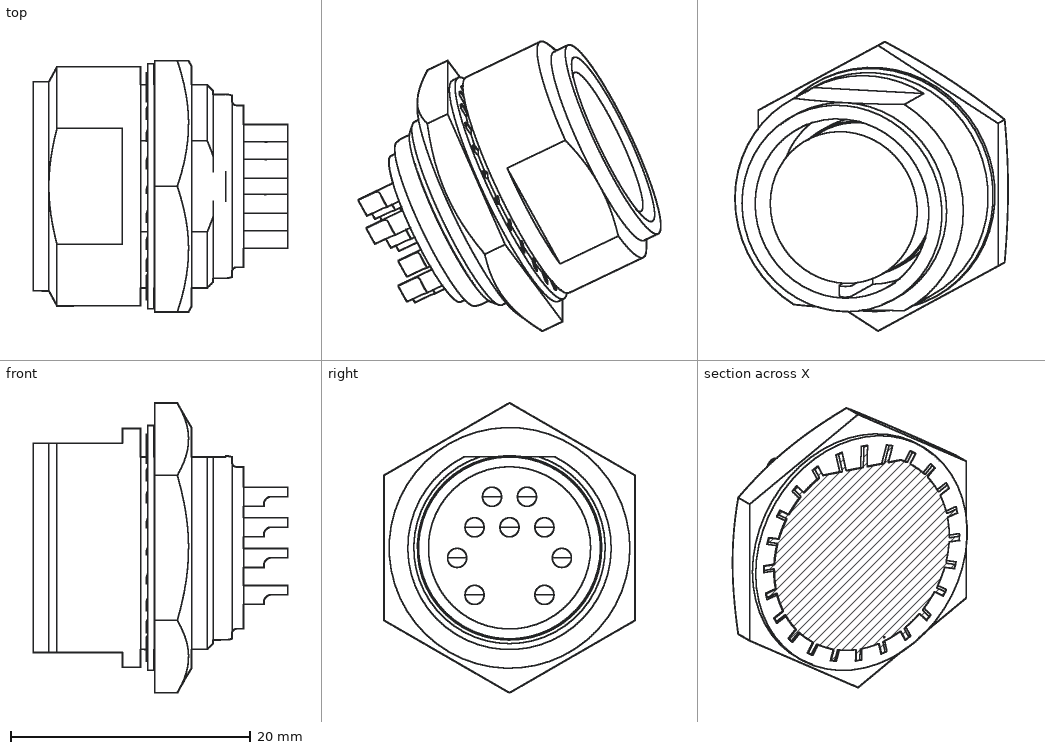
import cadquery as cq
import math


collar_radius = 8.75
collar_end = 1.32
flange_radius = 10.0
flange_start = 2.0
flange_end = 8.98
wrench_flat_height = collar_radius
wrench_flat_end = 7.47

barrel_radius = 8.5
barrel_end = 15.05
barrel_chamfer = 0.5
barrel_flat_height = 7.6

clamp_radius = 7.7
clamp_flat_end = 16.1
clamp_end = 16.63
clamp_end_radius = 7.6
tail_radius = 6.78
tail_start = 17.0
tail_end = 17.6

socket_radius = 7.6
socket_depth = 7.0
insert_radius = 6.43
insert_recess = 0.5
insert_base_radius = 6.55
insert_base_start = 5.0
key_width = 1.05
key_top_radius = 6.7
key_front = 0.5

washer_start = 9.58
washer_end = 10.12
washer_radius = 10.25
tooth_count = 24
tooth_height = 0.14
tooth_radius = 9.48
tooth_width = 0.6
first_tooth_angle = 13.3

nut_start = 10.15
nut_end = 13.25
nut_across_flats = 21.0
nut_face_radius = 10.06
nut_chamfer_angle = 30.0

pin_radius = 0.8
pin_end = 21.3
pin_cut_length = 2.0
pin_cut_rounding = 0.6
pin_pitch = 2.92
pin_rows = [
    (4.27, [0.5 * pin_pitch]),
    (1.72, [0, pin_pitch]),
    (-0.84, [1.5 * pin_pitch]),
    (-3.93, [pin_pitch]),
]


def disc(radius, start, end):
    """Cylinder on the X axis between two X positions."""
    return cq.Workplane("YZ").workplane(offset=start).circle(radius).extrude(end - start)


def flat_cutter(height, start, end):
    """Block that removes everything above Z = height between two X positions."""
    width = 2 * flange_radius
    depth = flange_radius
    block = cq.Workplane("XY").box(end - start, width, depth, centered=(False, True, False))
    return block.translate((start, 0, height))


def make_shell_front():
    front = (
        cq.Workplane("XY")
        .polyline([
            (0, 0),
            (0, collar_radius),
            (collar_end, collar_radius),
            (flange_start, flange_radius),
            (flange_end, flange_radius),
            (flange_end, 0),
        ])
        .close()
        .revolve(360, (0, 0, 0), (1, 0, 0))
    )
    upper_flat = flat_cutter(wrench_flat_height, 0, wrench_flat_end)
    lower_flat = upper_flat.mirror("XY")
    return front.cut(upper_flat).cut(lower_flat)


def make_shell_rear():
    barrel = disc(barrel_radius, flange_end, barrel_end).faces(">X").chamfer(barrel_chamfer)
    neck_fillet = tail_start - clamp_end
    crown_length = clamp_end - clamp_flat_end
    crown_drop = clamp_radius - clamp_end_radius
    crown_arc_radius = (crown_length**2 + crown_drop**2) / (2 * crown_drop)
    clamp = (
        cq.Workplane("XY")
        .moveTo(barrel_end, 0)
        .lineTo(barrel_end, clamp_radius)
        .lineTo(clamp_flat_end, clamp_radius)
        .radiusArc((clamp_end, clamp_end_radius), crown_arc_radius)
        .lineTo(clamp_end, tail_radius + neck_fillet)
        .radiusArc((tail_start, tail_radius), -neck_fillet)
        .lineTo(tail_end, tail_radius)
        .lineTo(tail_end, 0)
        .close()
        .revolve(360, (0, 0, 0), (1, 0, 0))
    )
    rear = barrel.union(clamp)
    return rear.cut(flat_cutter(barrel_flat_height, flange_end, clamp_flat_end))


def make_socket():
    """Space removed from the shell: a bore whose stepped core is left as the contact insert."""
    insert = disc(insert_radius, insert_recess, socket_depth)
    insert_base = disc(insert_base_radius, insert_base_start, socket_depth)
    return disc(socket_radius, 0, socket_depth).cut(insert).cut(insert_base)


def make_key():
    """Round-nosed polarising key standing on the lower wall of the socket."""
    nose_radius = key_width / 2
    nose_center = key_front + nose_radius
    foot_radius = (socket_radius + collar_radius) / 2
    profile = (
        cq.Workplane("XY")
        .workplane(offset=-foot_radius)
        .moveTo(nose_center, -nose_radius)
        .threePointArc((key_front, 0), (nose_center, nose_radius))
        .lineTo(socket_depth, nose_radius)
        .lineTo(socket_depth, -nose_radius)
        .close()
    )
    return profile.extrude(foot_radius - key_top_radius)


def make_washer():
    """Washer with radial teeth, each ramping up along the rim to a blunt edge."""
    washer = disc(washer_radius, washer_start, washer_end)
    blank = disc(tooth_radius, washer_start - tooth_height, washer_start)
    wedge = (
        cq.Workplane("XZ")
        .polyline([
            (washer_start, tooth_width / 2),
            (washer_start - tooth_height, -tooth_width / 6),
            (washer_start - tooth_height, -tooth_width / 2),
            (washer_start, -tooth_width / 2),
        ])
        .close()
        .extrude(tooth_radius)
    )
    for index in range(tooth_count):
        angle = first_tooth_angle + index * 360 / tooth_count
        tooth = wedge.intersect(blank).rotate((0, 0, 0), (1, 0, 0), -angle)
        washer = washer.union(tooth)
    return washer


def make_nut():
    corner_radius = nut_across_flats / math.sqrt(3)
    hexagon = (
        cq.Workplane("YZ")
        .workplane(offset=nut_start)
        .polygon(6, 2 * corner_radius)
        .extrude(nut_end - nut_start)
        .rotate((0, 0, 0), (1, 0, 0), 90)
    )
    chamfer_length = (corner_radius - nut_face_radius) * math.tan(math.radians(nut_chamfer_angle))
    envelope = (
        cq.Workplane("XY")
        .polyline([
            (nut_start, 0),
            (nut_start, corner_radius),
            (nut_end - chamfer_length, corner_radius),
            (nut_end, nut_face_radius),
            (nut_end, 0),
        ])
        .close()
        .revolve(360, (0, 0, 0), (1, 0, 0))
    )
    return hexagon.intersect(envelope)


def make_pin():
    """Contact on the X axis whose end is cut away below the axis."""
    pin = disc(pin_radius, tail_end, pin_end)
    cut = (
        cq.Workplane("XY")
        .box(pin_cut_length, 2 * pin_radius, pin_radius, centered=(False, True, False))
        .edges("<X and >Z")
        .fillet(pin_cut_rounding)
        .translate((pin_end - pin_cut_length, 0, -pin_radius))
    )
    return pin.cut(cut)


def make_pins():
    pin = make_pin()
    pins = cq.Workplane("YZ")
    for height, distances in pin_rows:
        for distance in distances:
            for y in {distance, -distance}:
                pins = pins.union(pin.translate((0, y, height)))
    return pins


shell = make_shell_front().union(make_shell_rear()).cut(make_socket()).union(make_key())
result = shell.union(make_washer()).union(make_nut()).union(make_pins())